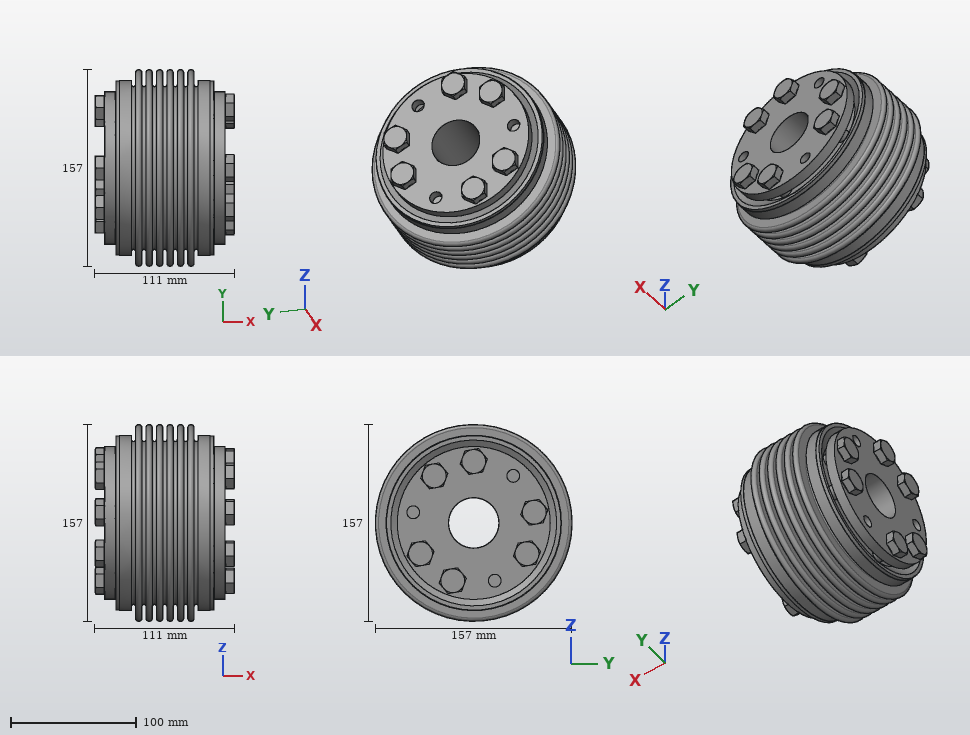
import cadquery as cq
import math

length = 111.0
head_height = 7.5
washer_face_height = 0.45
disc_thickness = 8.5
ring_gap = 0.4
collar_width = 3.0
recess_depth = 7.3

head_face_x = length / 2
disc_face_x = head_face_x - head_height
hex_base_x = disc_face_x + washer_face_height
disc_back_x = disc_face_x - disc_thickness
ring_face_x = disc_back_x - ring_gap
collar_x = ring_face_x - collar_width
recess_floor_x = ring_face_x - recess_depth

bore_radius = 40.0 / 2
neck_radius = 79.35 / 2
disc_radius = 122.0 / 2
collar_radius = 139.0 / 2
ring_radius = 139.8 / 2
recess_mouth_radius = 66.1
recess_floor_radius = 55.2

crest_count = 6
crest_pitch = 25.0 / 3
crest_tip_radius = 157.0 / 2
root_bottom_radius = 65.0
crest_round = 2.6
root_round = crest_pitch / 2 - crest_round
bellows_end_x = crest_count * crest_pitch / 2 + root_round

place_count = 9
places_per_group = 3
hole_place_in_group = 2
bolt_circle_radius = 98.0 / 2
shank_radius = 12.0 / 2
washer_face_radius = 17.2 / 2
hole_diameter = 10.2
across_flats = 19.0
hexagon_sides = 6
across_corners = across_flats / math.cos(math.pi / hexagon_sides)
head_chamfer_angle = 20.0
near_head_turn = 0.0
far_head_turn = -20.0


def solid_of_revolution(profile):
    """Revolve an (x, radius) profile about the X axis."""
    return profile.close().revolve(360, (0, 0, 0), (1, 0, 0))


def end_outline():
    """Outline of the +X end as (x, radius) points, from the bellows out to the bore."""
    return [
        (bellows_end_x, ring_radius),
        (collar_x, ring_radius),
        (collar_x, collar_radius),
        (ring_face_x, collar_radius),
        (ring_face_x, recess_mouth_radius),
        (recess_floor_x, recess_floor_radius),
        (recess_floor_x, neck_radius),
        (disc_back_x, neck_radius),
        (disc_back_x, disc_radius),
        (disc_face_x, disc_radius),
        (disc_face_x, bore_radius),
    ]


def body():
    """Two discs on necks, two recessed rings and the bellows between them."""
    far_end = end_outline()
    near_end = [(-x, radius) for x, radius in reversed(far_end)]
    profile = cq.Workplane("XY").polyline(near_end)

    root_centre_r = root_bottom_radius + root_round
    crest_centre_r = crest_tip_radius - crest_round
    first_root_x = root_round - bellows_end_x
    for index in range(crest_count + 1):
        root_x = first_root_x + index * crest_pitch
        profile = profile.lineTo(root_x - root_round, root_centre_r).threePointArc(
            (root_x, root_bottom_radius), (root_x + root_round, root_centre_r)
        )
        if index < crest_count:
            crest_x = root_x + crest_pitch / 2
            profile = profile.lineTo(crest_x - crest_round, crest_centre_r).threePointArc(
                (crest_x, crest_tip_radius), (crest_x + crest_round, crest_centre_r)
            )

    for x, radius in far_end:
        profile = profile.lineTo(x, radius)
    return solid_of_revolution(profile)


def bolt_at_origin(head_turn):
    """Hex bolt along +X: shank from the recess floor to the disc, washer face, chamfered head."""
    shank_length = disc_face_x - recess_floor_x
    shank = cq.Workplane("YZ", origin=(recess_floor_x, 0, 0)).circle(shank_radius).extrude(shank_length)
    washer_face = (
        cq.Workplane("YZ", origin=(disc_face_x, 0, 0))
        .circle(washer_face_radius)
        .extrude(washer_face_height)
    )

    head = (
        cq.Workplane("YZ", origin=(hex_base_x, 0, 0))
        .polygon(hexagon_sides, across_corners)
        .extrude(head_face_x - hex_base_x)
        .rotate((0, 0, 0), (1, 0, 0), 90 + head_turn)
    )
    corner_radius = across_corners / 2
    flat_radius = across_flats / 2
    chamfer_drop = (corner_radius - flat_radius) * math.tan(math.radians(head_chamfer_angle))
    envelope = solid_of_revolution(
        cq.Workplane("XY")
        .moveTo(hex_base_x, 0)
        .lineTo(hex_base_x, corner_radius)
        .lineTo(head_face_x - chamfer_drop, corner_radius)
        .lineTo(head_face_x, flat_radius)
        .lineTo(head_face_x, 0)
    )
    return shank.union(washer_face).union(head.intersect(envelope))


def place_on_circle(place):
    """Y and Z of a bolt place, counted from the top towards -Y."""
    angle = math.radians(place * 360 / place_count)
    return -bolt_circle_radius * math.sin(angle), bolt_circle_radius * math.cos(angle)


def is_hole(place):
    return place % places_per_group == hole_place_in_group


def add_bolts(part):
    """Six bolts at each end."""
    far_bolt = bolt_at_origin(far_head_turn)
    near_bolt = bolt_at_origin(near_head_turn).mirror("YZ")
    for place in range(place_count):
        if not is_hole(place):
            y, z = place_on_circle(place)
            part = part.union(far_bolt.translate((0, y, z)))
            part = part.union(near_bolt.translate((0, y, z)))
    return part


def cut_disc_holes(part):
    """Three open holes through the thickness of each disc."""
    centres = [place_on_circle(place) for place in range(place_count) if is_hole(place)]
    for start_x in (-disc_face_x, disc_back_x):
        holes = (
            cq.Workplane("YZ", origin=(start_x, 0, 0))
            .pushPoints(centres)
            .circle(hole_diameter / 2)
            .extrude(disc_thickness)
        )
        part = part.cut(holes)
    return part


result = cut_disc_holes(add_bolts(body()))